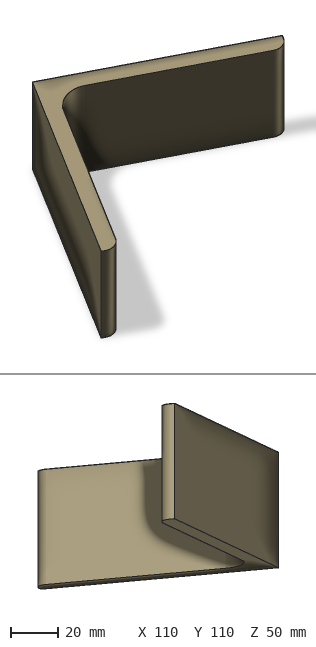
import cadquery as cq

leg_length = 110.0
thickness = 8.0
height = 50.0
root_radius = 13.0
toe_radius = 6.0

angle = (
    cq.Workplane("XY")
    .polyline([
        (0, 0),
        (leg_length, 0),
        (leg_length, thickness),
        (thickness, thickness),
        (thickness, leg_length),
        (0, leg_length),
    ])
    .close()
    .extrude(height)
)


def round_vertical_edge(body, x, y, radius):
    """Fillet the vertical edge closest to the given plan position."""
    nearest = cq.selectors.NearestToPointSelector((x, y, height / 2))
    return body.edges("|Z").edges(nearest).fillet(radius)


angle = round_vertical_edge(angle, thickness, thickness, root_radius)
angle = round_vertical_edge(angle, leg_length, thickness, toe_radius)
angle = round_vertical_edge(angle, thickness, leg_length, toe_radius)

result = angle